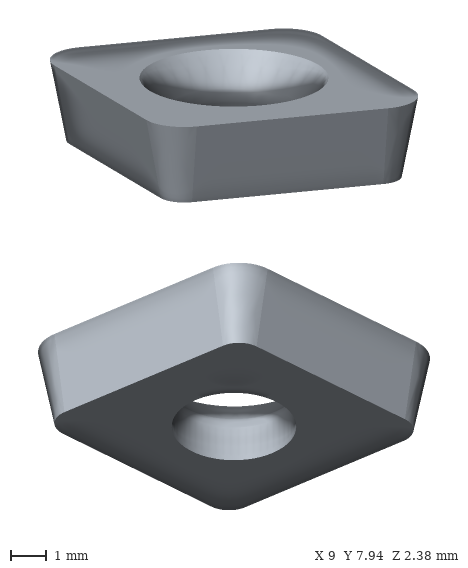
import cadquery as cq
import math

inscribed_diameter = 7.94
thickness = 2.38
corner_angle = 80.0
corner_radius = 1.2
relief_angle = 11.0

seat_diameter = 5.31
bore_diameter = 3.5
seat_half_angle = 40.0
blend_radius = 0.57


def make_body():
    """Rounded rhombus at the top, tapering inward to the bottom."""
    side = inscribed_diameter / math.sin(math.radians(corner_angle))
    half_height = inscribed_diameter / 2
    lean = half_height / math.tan(math.radians(corner_angle))
    corners = [
        (-side / 2 - lean, -half_height),
        (side / 2 - lean, -half_height),
        (side / 2 + lean, half_height),
        (-side / 2 + lean, half_height),
    ]
    outline = cq.Sketch().polygon(corners + corners[:1]).vertices().fillet(corner_radius)
    return (
        cq.Workplane("XY")
        .workplane(offset=thickness)
        .placeSketch(outline)
        .extrude(-thickness, taper=relief_angle)
    )


def make_screw_hole():
    """Revolved cutter: cone, tangent rounded blend, then a through bore."""
    angle = math.radians(seat_half_angle)
    seat_radius = seat_diameter / 2
    bore_radius = bore_diameter / 2

    arc_center_r = bore_radius + blend_radius
    cone_end_r = arc_center_r - blend_radius * math.cos(angle)
    cone_end_z = thickness - (seat_radius - cone_end_r) / math.tan(angle)
    arc_center_z = cone_end_z - blend_radius * math.sin(angle)
    arc_middle = (
        arc_center_r - blend_radius * math.cos(angle / 2),
        arc_center_z + blend_radius * math.sin(angle / 2),
    )
    return (
        cq.Workplane("XZ")
        .moveTo(0, 0)
        .lineTo(bore_radius, 0)
        .lineTo(bore_radius, arc_center_z)
        .threePointArc(arc_middle, (cone_end_r, cone_end_z))
        .lineTo(seat_radius, thickness)
        .lineTo(0, thickness)
        .close()
        .revolve(360, (0, 0), (0, 1))
    )


result = make_body().cut(make_screw_hole())